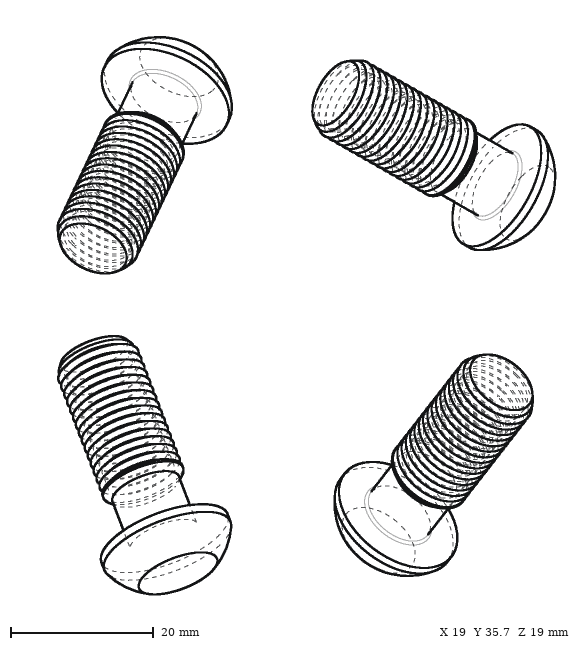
import cadquery as cq
import math


overall_length = 35.7
head_radius = 9.5
head_height = 5.7
head_top_radius = 5.85
rim_height = 1.25

neck_radius = 5.0
neck_length = 8.0
neck_fillet = 0.4

thread_radius = 6.0
thread_pitch = 1.25
ridge_count = 15
flank_angle = 30.0
collar_width = 0.35

tip_radius = 5.0
tip_chamfer_length = 0.9

shank_length = overall_length - head_height
flank_slope = math.tan(math.radians(flank_angle))
root_radius = thread_radius - thread_pitch / 2 / flank_slope
collar_start = -neck_length - (thread_radius - neck_radius)
thread_start = collar_start - collar_width
last_root = thread_start - (ridge_count + 0.5) * thread_pitch
chamfer_start = tip_chamfer_length - shank_length
chamfer_radius = root_radius + (last_root - chamfer_start) / flank_slope


def dome_midpoint():
    """Halfway point of the dome arc, whose centre lies on the screw axis."""
    rise = head_height - rim_height
    center_drop = (head_radius**2 - head_top_radius**2 - rise**2) / (2 * rise)
    center = rim_height - center_drop
    dome_radius = math.hypot(head_radius, center_drop)
    rim_angle = math.atan2(center_drop, head_radius)
    top_angle = math.atan2(center_drop + rise, head_top_radius)
    middle_angle = (rim_angle + top_angle) / 2
    return (
        center + dome_radius * math.sin(middle_angle),
        dome_radius * math.cos(middle_angle),
    )


def add_head(profile):
    """Flat top, domed side, cylindrical rim and bearing face."""
    return (
        profile.lineTo(head_height, head_top_radius)
        .threePointArc(dome_midpoint(), (rim_height, head_radius))
        .lineTo(0, head_radius)
    )


def add_neck(profile):
    """Fillet under the head, plain neck and the 45 degree cone up to the collar."""
    return (
        profile.lineTo(0, neck_radius + neck_fillet)
        .radiusArc((-neck_fillet, neck_radius), neck_fillet)
        .lineTo(-neck_length, neck_radius)
        .lineTo(collar_start, thread_radius)
    )


def add_thread(profile):
    """Collar followed by a row of V grooves and ridges, ending in a groove."""
    profile = profile.lineTo(thread_start, thread_radius)
    for ridge in range(ridge_count):
        root = thread_start - (ridge + 0.5) * thread_pitch
        crest = root - thread_pitch / 2
        profile = profile.lineTo(root, root_radius).lineTo(crest, thread_radius)
    return profile.lineTo(last_root, root_radius)


def add_tip(profile):
    """Part ridge cut off by the end chamfer, then the flat end face."""
    return (
        profile.lineTo(chamfer_start, chamfer_radius)
        .lineTo(-shank_length, tip_radius)
        .lineTo(-shank_length, 0)
    )


section = cq.Workplane("YZ").moveTo(head_height, 0)
for add_portion in (add_head, add_neck, add_thread, add_tip):
    section = add_portion(section)

result = section.close().revolve(360, (0, 0, 0), (1, 0, 0))